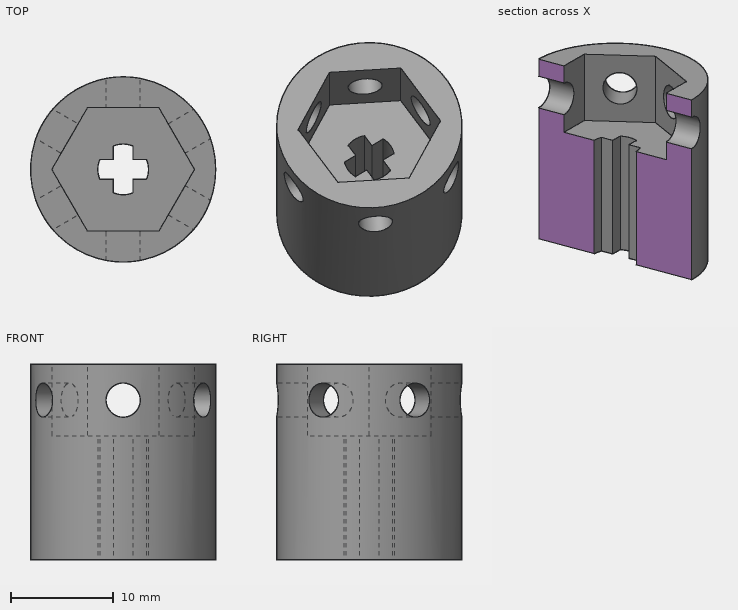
import math

import cadquery as cq

body_diameter = 18.0
body_height = 19.0
hex_across_flats = 12.0
hex_depth = 7.0
axle_diameter = 4.9
axle_arm_width = 1.9
side_hole_diameter = 3.3

hex_sides = 6
hex_across_corners = hex_across_flats / math.cos(math.pi / hex_sides)
socket_floor_z = body_height - hex_depth
side_hole_z = body_height - hex_depth / 2


def make_body():
    """Plain cylinder standing on the XY plane."""
    return cq.Workplane("XY").circle(body_diameter / 2).extrude(body_height)


def make_hex_socket():
    """Hexagonal pocket open at the top, with corners on the X axis."""
    return (
        cq.Workplane("XY")
        .workplane(offset=socket_floor_z)
        .polygon(hex_sides, hex_across_corners)
        .extrude(hex_depth)
    )


def make_axle_hole():
    """Cross-shaped through hole whose arm ends follow a circle."""
    envelope = cq.Workplane("XY").circle(axle_diameter / 2).extrude(body_height)
    arm_x = cq.Workplane("XY").rect(axle_diameter, axle_arm_width).extrude(body_height)
    arm_y = cq.Workplane("XY").rect(axle_arm_width, axle_diameter).extrude(body_height)
    return arm_x.union(arm_y).intersect(envelope)


def make_side_holes():
    """Radial holes, one through the middle of each hexagon flat."""
    holes = cq.Workplane("XY")
    angle_step = 360 / hex_sides
    for index in range(hex_sides):
        hole = (
            cq.Workplane("XZ", origin=(0, 0, side_hole_z))
            .circle(side_hole_diameter / 2)
            .extrude(body_diameter)
            .rotate((0, 0, 0), (0, 0, 1), index * angle_step)
        )
        holes = holes.add(hole)
    return holes.combine()


result = (
    make_body()
    .cut(make_hex_socket())
    .cut(make_axle_hole())
    .cut(make_side_holes())
)